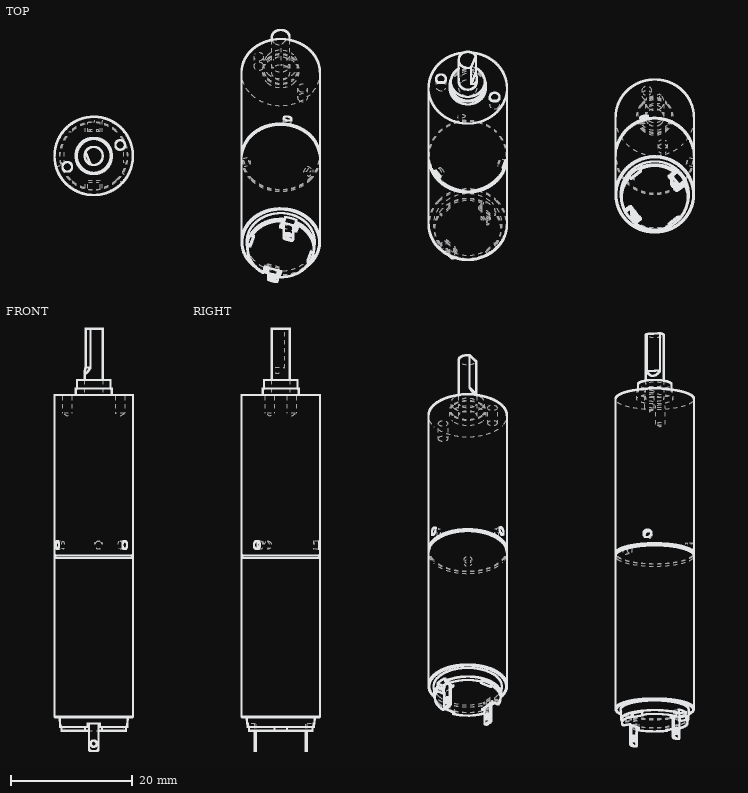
import cadquery as cq
import math

body_diameter = 13.0
body_radius = body_diameter / 2
gearbox_length = 26.5
motor_length = 26.75
motor_top_chamfer_height = 0.4
motor_top_chamfer_width = 0.15
motor_bottom_chamfer = 0.15
motor_bottom_z = -motor_length

clock_angle = 22.5

shaft_diameter = 3.0
shaft_length = 10.95
flat_distance = 1.0
flat_length = 6.4
flat_runout_height = 1.0
shaft_top_z = gearbox_length + shaft_length

bushing_collar_diameter = 6.0
bushing_collar_height = 1.05
bushing_nose_diameter = 5.6
bushing_height = 2.5
bushing_nose_height = bushing_height - bushing_collar_height

mount_hole_diameter = 1.6
mount_hole_depth = 3.0
drill_tip_angle = 118.0
mount_hole_radius = 4.73
mount_hole_count = 2
side_hole_diameter = 1.3
side_hole_depth = 1.0
side_hole_z = 1.7
side_hole_count = 3

cap_top_diameter = 11.3
cap_step_diameter = 11.1
cap_upper_height = 1.6
cap_rim_diameter = 10.9
cap_rim_height = 0.65
cap_height = cap_upper_height + cap_rim_height
rim_notch_width = 2.1
rim_notch_depth = 0.5
slot_width = 2.0
slot_height = 1.2
slot_mouth_width = 2.8

terminal_width = 1.6
terminal_thickness = 0.3
terminal_corner_radius = 0.4
terminal_offset = 4.2
terminal_hole_diameter = 1.0
terminal_hole_to_tip = 1.25
overall_length = 69.79
cap_bottom_z = motor_bottom_z - cap_height
terminal_top_z = cap_bottom_z + slot_height
terminal_tip_z = shaft_top_z - overall_length
terminal_inner_y = terminal_offset - terminal_thickness / 2


def cylinder(diameter, height, bottom_z):
    return cq.Workplane("XY").workplane(offset=bottom_z).circle(diameter / 2).extrude(height)


def make_shaft():
    flat_bottom_z = shaft_top_z - flat_length
    shaft_radius = shaft_diameter / 2
    runout_slope = flat_runout_height / (shaft_radius - flat_distance)
    beyond = shaft_diameter
    cutter = (
        cq.Workplane("XZ")
        .moveTo(-flat_distance, shaft_top_z)
        .lineTo(-flat_distance, flat_bottom_z)
        .lineTo(-beyond, flat_bottom_z - (beyond - flat_distance) * runout_slope)
        .lineTo(-beyond, shaft_top_z)
        .close()
        .extrude(shaft_radius, both=True)
        .rotate((0, 0, 0), (0, 0, 1), clock_angle)
    )
    return cylinder(shaft_diameter, shaft_length, gearbox_length).cut(cutter)


def make_bushing():
    collar = cylinder(bushing_collar_diameter, bushing_collar_height, gearbox_length)
    nose_z = gearbox_length + bushing_collar_height
    nose = cylinder(bushing_nose_diameter, bushing_nose_height, nose_z)
    bore = cylinder(shaft_diameter, bushing_height, gearbox_length)
    return collar.union(nose).cut(bore)


def make_mount_hole_cutter():
    """Blind drilled hole with a conical tip, placed on the +X side."""
    hole_radius = mount_hole_diameter / 2
    tip_height = hole_radius / math.tan(math.radians(drill_tip_angle / 2))
    bottom_z = gearbox_length - mount_hole_depth
    return (
        cq.Workplane("XZ")
        .moveTo(0, gearbox_length)
        .lineTo(hole_radius, gearbox_length)
        .lineTo(hole_radius, bottom_z)
        .lineTo(0, bottom_z - tip_height)
        .close()
        .revolve(360, (0, 0, 0), (0, 1, 0))
        .translate((mount_hole_radius, 0, 0))
    )


def make_gearbox():
    gearbox = cylinder(body_diameter, gearbox_length, 0)
    for i in range(mount_hole_count):
        angle = clock_angle + i * 360 / mount_hole_count
        gearbox = gearbox.cut(make_mount_hole_cutter().rotate((0, 0, 0), (0, 0, 1), angle))
    for i in range(side_hole_count):
        side_hole = (
            cq.Workplane("YZ")
            .workplane(offset=body_radius - side_hole_depth)
            .center(0, side_hole_z)
            .circle(side_hole_diameter / 2)
            .extrude(2 * side_hole_depth)
            .rotate((0, 0, 0), (0, 0, 1), 180 + clock_angle + i * 360 / side_hole_count)
        )
        gearbox = gearbox.cut(side_hole)
    return gearbox


def make_motor_can():
    return (
        cylinder(body_diameter, motor_length, motor_bottom_z)
        .faces(">Z")
        .chamfer(motor_top_chamfer_height, motor_top_chamfer_width)
        .faces("<Z")
        .chamfer(motor_bottom_chamfer)
    )


def outward_slot(width, height, inner_radius, angle):
    """Cutter open at the cap underside, running outward from inner_radius toward the given angle."""
    return (
        cq.Workplane("XY")
        .box(body_radius - inner_radius, width, height, centered=(False, True, False))
        .translate((inner_radius, 0, cap_bottom_z))
        .rotate((0, 0, 0), (0, 0, 1), angle)
    )


def make_end_cap():
    cap = (
        cq.Workplane("XZ")
        .moveTo(0, motor_bottom_z)
        .lineTo(cap_top_diameter / 2, motor_bottom_z)
        .lineTo(cap_step_diameter / 2, motor_bottom_z - cap_upper_height)
        .lineTo(cap_rim_diameter / 2, motor_bottom_z - cap_upper_height)
        .lineTo(cap_rim_diameter / 2, cap_bottom_z)
        .lineTo(0, cap_bottom_z)
        .close()
        .revolve(360, (0, 0, 0), (0, 1, 0))
    )
    for angle in (90, 270):
        cap = cap.cut(outward_slot(slot_width, slot_height, terminal_inner_y, angle))
        cap = cap.cut(outward_slot(slot_mouth_width, cap_rim_height, terminal_inner_y, angle))
    for angle in (0, 180):
        notch_radius = cap_rim_diameter / 2 - rim_notch_depth
        cap = cap.cut(outward_slot(rim_notch_width, cap_rim_height, notch_radius, angle))
    return cap


def make_terminal(side):
    """One solder tab; side is +1 or -1 for the +Y or -Y tab."""
    length = terminal_top_z - terminal_tip_z
    hole = (
        cq.Workplane("XZ")
        .center(0, terminal_tip_z + terminal_hole_to_tip)
        .circle(terminal_hole_diameter / 2)
        .extrude(terminal_thickness, both=True)
    )
    tab = (
        cq.Workplane("XY")
        .box(terminal_width, terminal_thickness, length, centered=(True, True, False))
        .translate((0, 0, terminal_tip_z))
        .edges("|Y and <Z")
        .fillet(terminal_corner_radius)
        .cut(hole)
    )
    return tab.translate((0, side * terminal_offset, 0))


shaft = make_shaft()
bushing = make_bushing()
gearbox = make_gearbox()
motor_can = make_motor_can()
end_cap = make_end_cap()
terminals = [make_terminal(side) for side in (1, -1)]

result = cq.Compound.makeCompound(
    [
        shaft.val(),
        bushing.val(),
        gearbox.val(),
        motor_can.val(),
        end_cap.val(),
        *[terminal.val() for terminal in terminals],
    ]
)